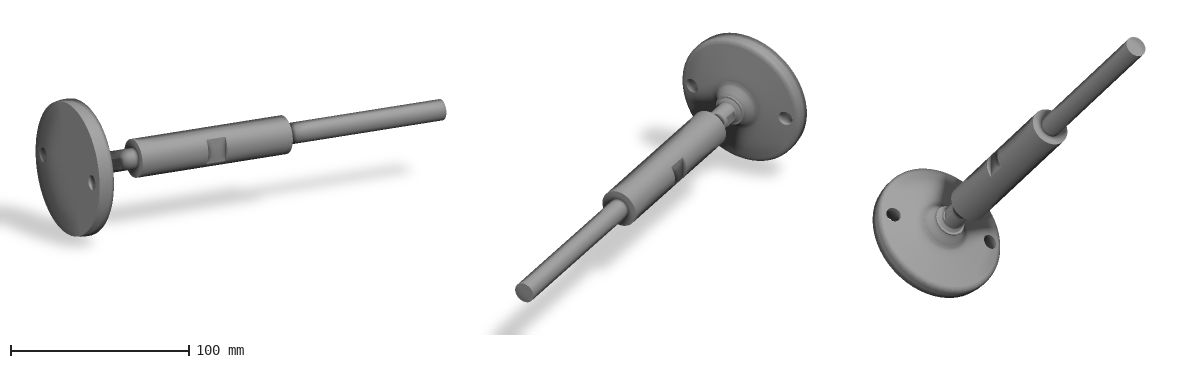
import cadquery as cq
import math


foot_radius = 78.0 / 2
sole_radius = 38.5
rim_low_y = 3.5
rim_edge_y = 9.5
rim_fillet = 2.8
cone_slope_deg = 9.0
hub_base_radius = 13.5
hub_base_fillet = 3.5
hub_top_radius = 7.8
hub_top_y = 19.7
edge_tolerance = 0.2
hub_base_y = rim_edge_y + (foot_radius - hub_base_radius) * math.tan(math.radians(cone_slope_deg))

screw_hole_diameter = 8.5
screw_hole_x = 29.2
screw_hole_reach = 23.7

spindle_radius = 12.0 / 2
spindle_end_y = 237.0
collar_radius = 9.0
collar_thickness = 1.0
collar_top_y = hub_top_y + collar_thickness
flare_top_y = 22.3
flare_base_radius = 7.8
spindle_flat_width = 10.2
spindle_flat_y = 23.7
spindle_flat_length = 8.0

sleeve_radius = 22.0 / 2
sleeve_y = 41.7
sleeve_length = 95.3
sleeve_flat_width = 16.8
sleeve_flat_length = 12.0
sleeve_flat_y = 83.5


def revolve_about_y(outline):
    """Revolve a closed half outline (radius, Y) about the Y axis."""
    return outline.close().revolve(360, (0, 0, 0), (0, 1, 0))


def cut_wrench_flats(body, radius, width, start_y, length):
    """Cut two opposite flats, facing -X and +X, into a round body."""
    depth = radius - width / 2
    for side in (-1, 1):
        cutter = (
            cq.Workplane("XY")
            .box(2 * depth, length, 2 * radius)
            .translate((side * (width / 2 + depth), start_y + length / 2, 0))
        )
        body = body.cut(cutter)
    return body


def circle_at(y):
    """Select the circular edge of the foot that lies at height y."""
    reach = 2 * foot_radius
    return cq.selectors.BoxSelector(
        (-reach, y - edge_tolerance, -reach),
        (reach, y + edge_tolerance, reach),
        boundingbox=True,
    )


def make_foot():
    outline = (
        cq.Workplane("XY")
        .lineTo(sole_radius, 0)
        .lineTo(foot_radius, rim_low_y)
        .lineTo(foot_radius, rim_edge_y)
        .lineTo(hub_base_radius, hub_base_y)
        .lineTo(hub_top_radius, hub_top_y)
        .lineTo(0, hub_top_y)
    )
    foot = revolve_about_y(outline)
    foot = foot.edges(circle_at(rim_edge_y)).fillet(rim_fillet)
    foot = foot.edges(circle_at(hub_base_y)).fillet(hub_base_fillet)

    tilt = math.radians(cone_slope_deg)
    for side in (-1, 1):
        axis = cq.Vector(side * math.sin(tilt), math.cos(tilt), 0)
        start = cq.Vector(side * screw_hole_x, 0, 0) - axis * screw_hole_reach
        hole = cq.Solid.makeCylinder(screw_hole_diameter / 2, 2 * screw_hole_reach, start, axis)
        foot = foot.cut(cq.Workplane(hole))
    return foot


def make_spindle():
    outline = (
        cq.Workplane("XY")
        .moveTo(0, hub_top_y)
        .lineTo(collar_radius, hub_top_y)
        .lineTo(collar_radius, collar_top_y)
        .lineTo(flare_base_radius, collar_top_y)
        .lineTo(spindle_radius, flare_top_y)
        .lineTo(spindle_radius, spindle_end_y)
        .lineTo(0, spindle_end_y)
    )
    spindle = revolve_about_y(outline)
    return cut_wrench_flats(
        spindle, spindle_radius, spindle_flat_width, spindle_flat_y, spindle_flat_length
    )


def make_sleeve():
    outline = (
        cq.Workplane("XY")
        .moveTo(spindle_radius, sleeve_y)
        .lineTo(sleeve_radius, sleeve_y)
        .lineTo(sleeve_radius, sleeve_y + sleeve_length)
        .lineTo(spindle_radius, sleeve_y + sleeve_length)
    )
    sleeve = revolve_about_y(outline)
    return cut_wrench_flats(
        sleeve, sleeve_radius, sleeve_flat_width, sleeve_flat_y, sleeve_flat_length
    )


foot = make_foot()
spindle = make_spindle()
sleeve = make_sleeve()

result = cq.Compound.makeCompound([foot.val(), spindle.val(), sleeve.val()])